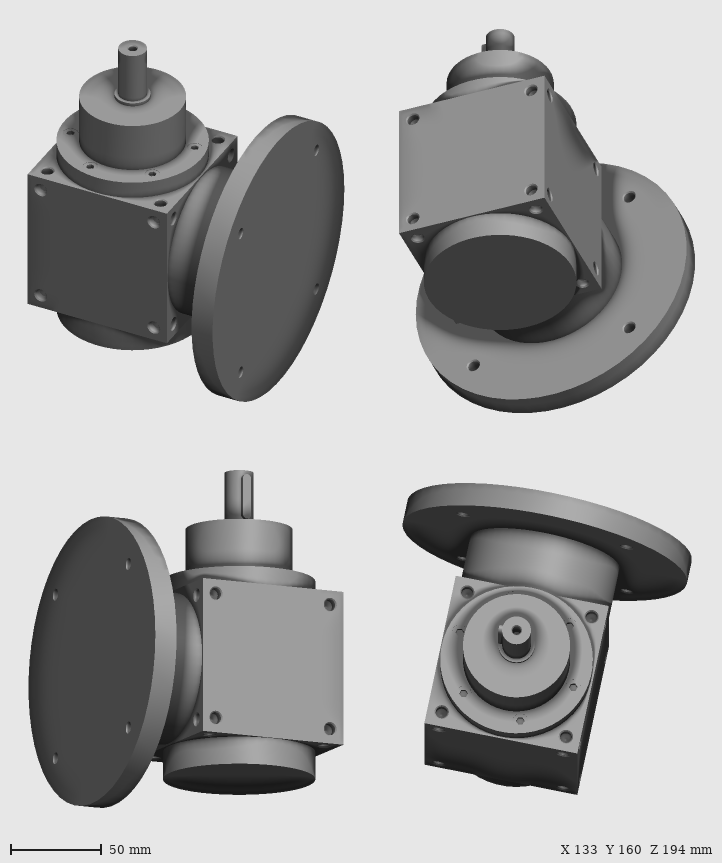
import cadquery as cq
import math


BOX_SIDE = 86.0
BOX_HALF = BOX_SIDE / 2
HUB_DIA = 84.0
COVER_TOP_Z = 53.0
LOWER_COVER_Z = -58.2
BOSS_DIA = 59.0
BOSS_TOP_Z = 82.0

FLANGE_DIA = 160.0
FLANGE_FACE_X = 90.0
FLANGE_THICKNESS = 13.0
FLANGE_HOLE_DIA = 6.5
FLANGE_HOLE_RIM_DIA = 8.0
FLANGE_HOLE_PITCH = 92.0

CORNER_HOLE_PITCH = 69.8
CORNER_HOLE_DIA = 6.5
CORNER_HOLE_RIM_DIA = 8.0
CORNER_HOLE_DEPTH = 4.7
DRILL_POINT_ANGLE = 118.0

SCREW_COUNT = 6
SCREW_CIRCLE_DIA = 69.8
SCREW_START_ANGLE = 15.0
SCREW_HEAD_DIA = 8.5
SCREW_RECESS = 0.2
SOCKET_WIDTH = 4.0
SOCKET_DEPTH = 2.5

SHAFT_DIA = 16.0
OVERALL_HEIGHT = 194.0
SHAFT_TOP_Z = OVERALL_HEIGHT - FLANGE_DIA / 2
COLLAR_DIA = 20.0
COLLAR_HEIGHT = 2.0
COLLAR_TOP_Z = BOSS_TOP_Z + COLLAR_HEIGHT
CENTRE_HOLE_DIA = 4.8
CENTRE_HOLE_RIM_DIA = 6.0
CENTRE_HOLE_DEPTH = 12.0

KEY_WIDTH = 5.0
KEY_LENGTH = 25.0
KEY_OUTER_Y = COLLAR_DIA / 2
KEY_INNER_Y = KEY_OUTER_Y - KEY_WIDTH
KEY_TOP_GAP = 2.5


def cylinder_between(plane, diameter, start, end):
    """Cylinder on the plane's normal through the origin, from start to end."""
    return cq.Workplane(plane).workplane(offset=start).circle(diameter / 2).extrude(end - start)


def blind_hole(diameter, rim_diameter, depth):
    """Drilled hole with a 45 degree rim and a conical bottom, opening at the origin and going down -Z."""
    radius = diameter / 2
    rim_radius = rim_diameter / 2
    rim_depth = rim_radius - radius
    tip_length = radius / math.tan(math.radians(DRILL_POINT_ANGLE / 2))
    profile = (
        cq.Workplane("XZ")
        .moveTo(0, 0)
        .lineTo(rim_radius, 0)
        .lineTo(radius, -rim_depth)
        .lineTo(radius, -depth)
        .lineTo(0, -depth - tip_length)
        .close()
    )
    return profile.revolve(360, (0, 0, 0), (0, 1, 0)).val()


def cut_corner_holes(body, face_plane):
    """Four corner holes in the box face that lies on face_plane."""
    hole = blind_hole(CORNER_HOLE_DIA, CORNER_HOLE_RIM_DIA, CORNER_HOLE_DEPTH)
    holes = (
        cq.Workplane(face_plane)
        .rect(CORNER_HOLE_PITCH, CORNER_HOLE_PITCH, forConstruction=True)
        .vertices()
        .eachpoint(lambda place: hole.moved(place), useLocalCoordinates=True)
    )
    return body.cut(holes)


def cut_flange_holes(body):
    """Four through holes in the flange with a countersunk rim on the neck side."""
    back_x = FLANGE_FACE_X - FLANGE_THICKNESS
    rim_depth = (FLANGE_HOLE_RIM_DIA - FLANGE_HOLE_DIA) / 2
    points = (
        cq.Workplane("YZ", origin=(back_x, 0, 0))
        .rect(FLANGE_HOLE_PITCH, FLANGE_HOLE_PITCH, forConstruction=True)
        .vertices()
    )
    bores = points.circle(FLANGE_HOLE_DIA / 2).extrude(FLANGE_THICKNESS)
    rim = cq.Solid.makeCone(FLANGE_HOLE_RIM_DIA / 2, FLANGE_HOLE_DIA / 2, rim_depth)
    rims = points.eachpoint(lambda place: rim.moved(place), useLocalCoordinates=True)
    return body.cut(bores).cut(rims)


def cut_cover_screws(body):
    """Ring of screw heads, each a shallow round recess with a hexagon socket."""
    points = cq.Workplane("XY", origin=(0, 0, COVER_TOP_Z)).polarArray(
        SCREW_CIRCLE_DIA / 2, SCREW_START_ANGLE, 360, SCREW_COUNT
    )
    recesses = points.circle(SCREW_HEAD_DIA / 2).extrude(-SCREW_RECESS)
    sockets = points.polygon(6, SOCKET_WIDTH, circumscribed=True).extrude(-SOCKET_DEPTH)
    return body.cut(recesses).cut(sockets)


def make_housing():
    """Gear housing with covers, boss, neck and mounting flange."""
    neck_end_x = FLANGE_FACE_X - FLANGE_THICKNESS
    body = cq.Workplane("XY").box(BOX_SIDE, BOX_SIDE, BOX_SIDE)
    body = body.union(cylinder_between("XY", HUB_DIA, LOWER_COVER_Z, COVER_TOP_Z))
    body = body.union(cylinder_between("XY", BOSS_DIA, 0, BOSS_TOP_Z))
    body = body.union(cylinder_between("YZ", HUB_DIA, 0, neck_end_x))
    body = body.union(cylinder_between("YZ", FLANGE_DIA, neck_end_x, FLANGE_FACE_X))
    for normal in [(1, 0, 0), (-1, 0, 0), (0, 1, 0), (0, -1, 0), (0, 0, 1), (0, 0, -1)]:
        centre = tuple(BOX_HALF * part for part in normal)
        across = (0, 1, 0) if normal[0] else (1, 0, 0)
        body = cut_corner_holes(body, cq.Plane(origin=centre, xDir=across, normal=normal))
    body = cut_flange_holes(body)
    return cut_cover_screws(body)


def make_key():
    """Parallel key with full round ends, standing on the +Y side of the shaft."""
    centre_z = SHAFT_TOP_Z - KEY_TOP_GAP - KEY_LENGTH / 2
    return (
        cq.Workplane("XZ", origin=(0, KEY_INNER_Y, centre_z))
        .slot2D(KEY_LENGTH, KEY_WIDTH, 90)
        .extrude(-(KEY_OUTER_Y - KEY_INNER_Y))
    )


def make_shaft(key):
    """Shaft with its collar seated on the boss, a centre hole and a keyway."""
    collar = cylinder_between("XY", COLLAR_DIA, BOSS_TOP_Z, COLLAR_TOP_Z)
    body = collar.union(cylinder_between("XY", SHAFT_DIA, BOSS_TOP_Z, SHAFT_TOP_Z))
    centre_hole = blind_hole(CENTRE_HOLE_DIA, CENTRE_HOLE_RIM_DIA, CENTRE_HOLE_DEPTH)
    centre_hole = centre_hole.moved(cq.Location(cq.Vector(0, 0, SHAFT_TOP_Z)))
    return body.cut(cq.Workplane(centre_hole)).cut(key)


housing = make_housing()
key = make_key()
shaft = make_shaft(key)

result = cq.Compound.makeCompound([housing.val(), shaft.val(), key.val()])